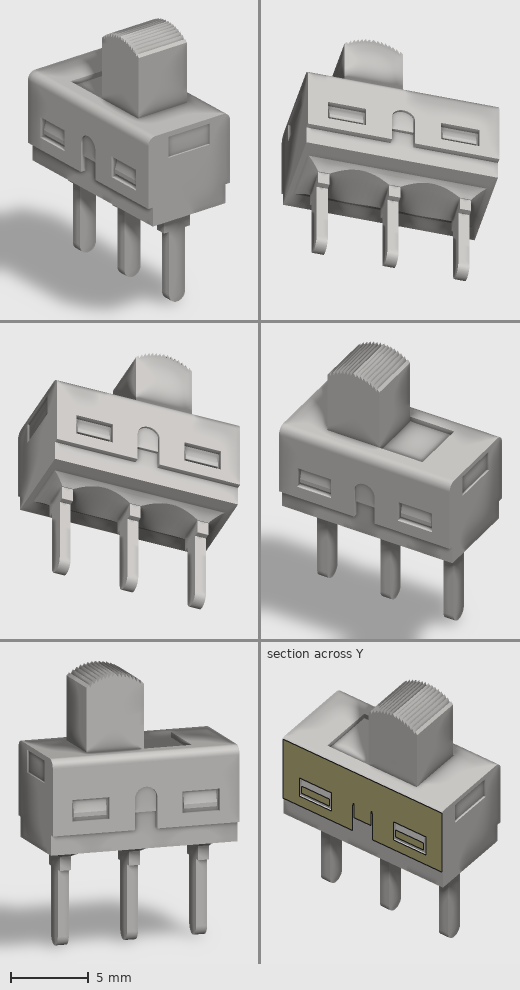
import cadquery as cq
import math


case_length = 12.7
case_height = 6.35
cover_width = 6.6
cover_thickness = 0.36
cover_bend_radius = 0.56
cover_skirt_z = 1.34
housing_width = cover_width - 2 * cover_thickness
housing_height = case_height - cover_thickness

opening_length = 7.12
opening_width = 4.0
knob_size = 3.88
knob_height = 5.08
knob_x = (opening_length - knob_size) / 2
knob_top_z = case_height + knob_height

crown_radius = 2.8
shoulder_drop = 0.82
teeth_per_side = 7
tooth_pitch = 0.253
tooth_depth = 0.25
valley_offset = 0.06

window_x = 3.75
window_length = 2.54
window_bottom_z = 2.18
window_top_z = 3.64
latch_length = 2.25
latch_bottom_z = 2.46
latch_lip_z = 2.74
latch_top_z = 3.47
latch_depth = 0.2

notch_width = 1.53
notch_top_z = 4.14
pad_width = 1.42
pad_depth = 0.2

end_recess_width = 3.33
end_recess_height = 1.48
end_recess_depth = 0.15

pin_pitch = 4.7
pin_length = 6.6
pin_thickness = 0.75
pin_width = 1.3
shoulder_width = 2.1
shoulder_length = 1.5

seal_length = 11.8
seal_width = 3.6
seal_depth = 0.56
seal_valley_depth = 0.17
seal_bottom_width = 2.2
seal_end_sag = 0.07
seal_side_sag = 0.06


def block(x_range, y_range, z_range):
    """Box spanning the given (low, high) ranges."""
    sizes = [high - low for low, high in (x_range, y_range, z_range)]
    corner = (x_range[0], y_range[0], z_range[0])
    return cq.Workplane("XY").box(*sizes, centered=False).translate(corner)


def centred(size, middle=0.0):
    """Range of the given size about its middle."""
    return (middle - size / 2, middle + size / 2)


def sagged_midpoint(start, end, sag):
    """Midpoint of a chord moved upward in Z, so that the arc hollows the underside."""
    return ((start[0] + end[0]) / 2, (start[1] + end[1]) / 2 + sag)


def both_sides(shape):
    """The shape together with its mirror image in the XZ plane."""
    return shape.union(shape.mirror("XZ"))


def make_housing():
    housing = block(centred(case_length), centred(housing_width), (0, housing_height))
    recess_z = (housing_height - end_recess_height, housing_height)
    for side in (-1, 1):
        recess_x = centred(2 * end_recess_depth, side * case_length / 2)
        housing = housing.cut(block(recess_x, centred(end_recess_width), recess_z))
    return housing


def make_notch():
    radius = notch_width / 2
    straight_top_z = notch_top_z - radius
    return (
        cq.Workplane("XZ")
        .moveTo(-radius, 0)
        .lineTo(-radius, straight_top_z)
        .threePointArc((0, notch_top_z), (radius, straight_top_z))
        .lineTo(radius, 0)
        .close()
        .extrude(cover_width / 2, both=True)
    )


def make_cover():
    cover = block(centred(case_length), centred(cover_width), (cover_skirt_z, case_height))
    cover = cover.edges("|X and >Z").fillet(cover_bend_radius)
    inner_z = (0, housing_height)
    cover = cover.cut(block(centred(case_length), centred(housing_width), inner_z))
    opening_z = (housing_height, case_height)
    cover = cover.cut(block(centred(opening_length), centred(opening_width), opening_z))
    for x in (-window_x, window_x):
        window = block(centred(window_length, x), centred(cover_width), (window_bottom_z, window_top_z))
        cover = cover.cut(window)
    return cover.cut(make_notch())


def make_latch(x):
    """Wedge on the -Y wall of the housing, sloping outward and down to a flat lip."""
    wall_y = -housing_width / 2
    lip_y = wall_y - latch_depth
    return (
        cq.Workplane("YZ")
        .polyline([
            (wall_y, latch_top_z),
            (lip_y, latch_lip_z),
            (lip_y, latch_bottom_z),
            (wall_y, latch_bottom_z),
        ])
        .close()
        .extrude(latch_length / 2, both=True)
        .translate((x, 0, 0))
    )


def make_pad():
    """Raised pad in the notch, reaching up behind the cover skirt."""
    wall_y = -housing_width / 2
    pad = block(centred(pad_width), (wall_y - pad_depth, wall_y), (latch_bottom_z, notch_top_z))
    return pad.intersect(make_notch())


def crown_drop(x):
    """Fall of the crown arc below its apex at distance x from the knob centre."""
    return crown_radius - math.sqrt(crown_radius**2 - x**2)


def grip_points():
    """Saw-tooth outline from -X to +X; each tooth is steep on the side facing the apex."""
    right_half = []
    for index in range(1, teeth_per_side + 1):
        peak_x = index * tooth_pitch
        valley_x = peak_x - valley_offset
        right_half.append((valley_x, knob_top_z - crown_drop(valley_x) - tooth_depth))
        right_half.append((peak_x, knob_top_z - crown_drop(peak_x)))
    left_half = [(-x, z) for x, z in reversed(right_half)]
    return left_half + [(0, knob_top_z)] + right_half


def make_knob():
    half = knob_size / 2
    shoulder_z = knob_top_z - shoulder_drop
    outline = [(-half, housing_height), (-half, shoulder_z)]
    outline += grip_points()
    outline += [(half, shoulder_z), (half, housing_height)]
    knob = cq.Workplane("XZ").polyline(outline).close().extrude(half, both=True)
    return knob.translate((knob_x, 0, 0))


def make_pin(x):
    tip_radius = pin_width / 2
    shoulder_half = shoulder_width / 2
    tip_start_z = -pin_length + tip_radius
    return (
        cq.Workplane("YZ")
        .moveTo(-shoulder_half, 0)
        .lineTo(-shoulder_half, -shoulder_length)
        .lineTo(-tip_radius, -shoulder_length)
        .lineTo(-tip_radius, tip_start_z)
        .threePointArc((0, -pin_length), (tip_radius, tip_start_z))
        .lineTo(tip_radius, -shoulder_length)
        .lineTo(shoulder_half, -shoulder_length)
        .lineTo(shoulder_half, 0)
        .close()
        .extrude(pin_thickness / 2, both=True)
        .translate((x, 0, 0))
    )


def make_seal():
    """Compound under the housing: its lengthwise and crosswise profiles intersected."""
    half_length = seal_length / 2
    half_pin = pin_thickness / 2
    left_end = (-half_length, 0)
    left_foot = (-pin_pitch - half_pin, -seal_depth)
    right_end = (half_length, 0)
    right_foot = (pin_pitch + half_pin, -seal_depth)
    lengthwise = (
        cq.Workplane("XZ")
        .moveTo(*left_end)
        .threePointArc(sagged_midpoint(left_end, left_foot, seal_end_sag), left_foot)
        .lineTo(-pin_pitch + half_pin, -seal_depth)
        .threePointArc((-pin_pitch / 2, -seal_valley_depth), (-half_pin, -seal_depth))
        .lineTo(half_pin, -seal_depth)
        .threePointArc((pin_pitch / 2, -seal_valley_depth), (pin_pitch - half_pin, -seal_depth))
        .lineTo(*right_foot)
        .threePointArc(sagged_midpoint(right_end, right_foot, seal_end_sag), right_end)
        .close()
        .extrude(seal_width / 2, both=True)
    )
    front_top = (-seal_width / 2, 0)
    front_foot = (-seal_bottom_width / 2, -seal_depth)
    back_top = (seal_width / 2, 0)
    back_foot = (seal_bottom_width / 2, -seal_depth)
    crosswise = (
        cq.Workplane("YZ")
        .moveTo(*front_top)
        .threePointArc(sagged_midpoint(front_top, front_foot, seal_side_sag), front_foot)
        .lineTo(*back_foot)
        .threePointArc(sagged_midpoint(back_top, back_foot, seal_side_sag), back_top)
        .close()
        .extrude(half_length, both=True)
    )
    return lengthwise.intersect(crosswise)


switch = make_housing().union(make_cover()).union(make_knob())
for latch_x in (-window_x, window_x):
    switch = switch.union(both_sides(make_latch(latch_x)))
switch = switch.union(both_sides(make_pad()))
switch = switch.union(make_seal())
for pin_x in (-pin_pitch, 0, pin_pitch):
    switch = switch.union(make_pin(pin_x))

result = switch